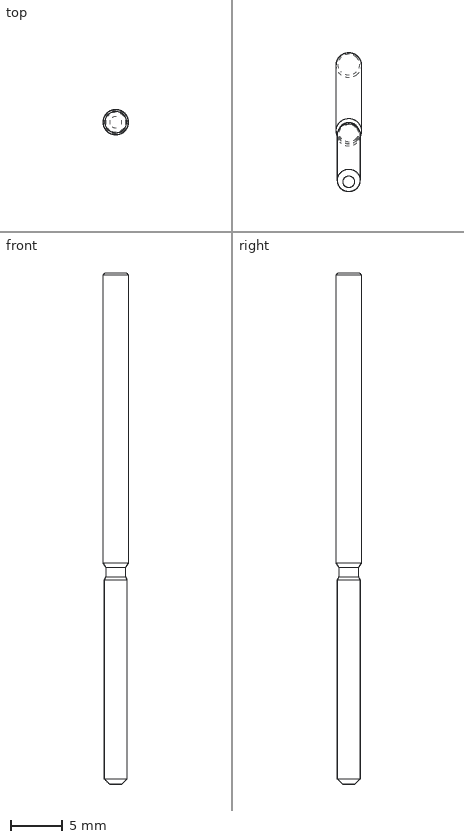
import cadquery as cq

total_length = 50.0
barrel_radius = 2.5 / 2
plunger_radius = 2.25 / 2
neck_radius = 1.95 / 2

barrel_bottom_z = 21.2
plunger_shoulder_z = 20.0

top_chamfer = 0.2
barrel_taper_height = 0.45
shoulder_taper_height = 0.3
tip_chamfer = 0.55


def revolve_profile(points):
    """Revolve a closed outline of (radius, height) points about the Z axis."""
    return cq.Workplane("XZ").polyline(points).close().revolve(360, (0, 0, 0), (0, 1, 0))


def make_barrel():
    """Upper cylinder, chamfered on top and tapering to the neck radius below."""
    return revolve_profile([
        (0, barrel_bottom_z),
        (neck_radius, barrel_bottom_z),
        (barrel_radius, barrel_bottom_z + barrel_taper_height),
        (barrel_radius, total_length - top_chamfer),
        (barrel_radius - top_chamfer, total_length),
        (0, total_length),
    ])


def make_plunger():
    """Lower cylinder with a chamfered tip and a neck that meets the barrel."""
    return revolve_profile([
        (0, 0),
        (plunger_radius - tip_chamfer, 0),
        (plunger_radius, tip_chamfer),
        (plunger_radius, plunger_shoulder_z),
        (neck_radius, plunger_shoulder_z + shoulder_taper_height),
        (neck_radius, barrel_bottom_z),
        (0, barrel_bottom_z),
    ])


barrel = make_barrel()
plunger = make_plunger()
result = cq.Compound.makeCompound([barrel.val(), plunger.val()])